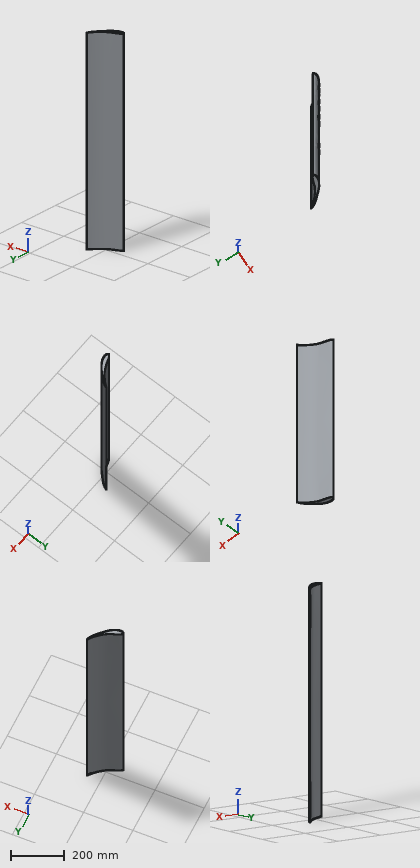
import cadquery as cq

chord_x = 113.5
chord_y = 87.0
span = 880.0

nose = (0.0, 8.0)
belly = (18.0, 0.0)
trailing_edge = (chord_x, chord_y)

concave_points = [(7.0, 14.0), (31.0, 24.2), (55.0, 34.0), (76.0, 48.0), (95.0, 65.0)]
convex_points = [(7.0, 2.0), belly, (38.0, 5.0), (56.0, 17.0), (76.0, 35.0), (94.0, 55.0)]


def blade_section():
    """Closed airfoil: concave face out to a sharp trailing edge, convex face back to the nose."""
    return (
        cq.Workplane("XY")
        .moveTo(*nose)
        .spline(concave_points + [trailing_edge], includeCurrent=True)
        .spline(convex_points[::-1] + [nose], includeCurrent=True)
        .close()
    )


result = blade_section().extrude(span)